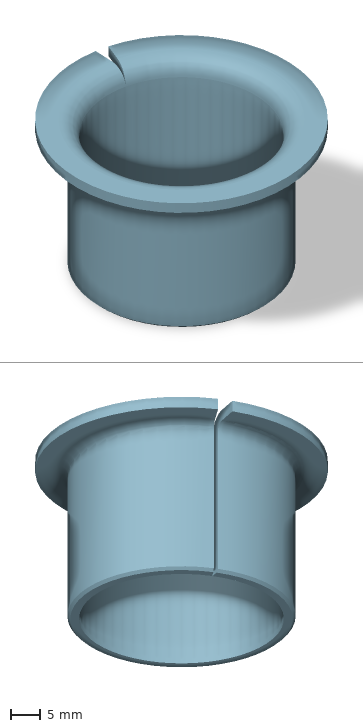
import cadquery as cq
import math

height = 30.0
flange_radius = 25.0
bore_radius = 17.5
wall = 2.0
bend_inner_radius = 1.5
bottom_chamfer = 0.5

split_tip_inset = 0.2
split_tip_y = -0.64
split_upper_angle = 7.8
split_lower_angle = 11.25
split_reach = 10.0

sleeve_radius = bore_radius + wall
bend_outer_radius = bend_inner_radius + wall
bend_radius_from_axis = sleeve_radius + bend_inner_radius
bend_z = height - bend_outer_radius
flange_bottom_z = height - wall
split_tip_x = -bore_radius + split_tip_inset


def arc_midpoint(radius):
    """Midpoint (x, z) of a quarter bend on the -X side, about the common bend centre."""
    offset = radius * math.sqrt(0.5)
    return (-bend_radius_from_axis + offset, bend_z + offset)


def make_bushing():
    """Sleeve flared into a flange, revolved about the Z axis."""
    return (
        cq.Workplane("XZ")
        .moveTo(-bore_radius, 0)
        .lineTo(-bore_radius, bend_z)
        .threePointArc(arc_midpoint(bend_outer_radius), (-bend_radius_from_axis, height))
        .lineTo(-flange_radius, height)
        .lineTo(-flange_radius, flange_bottom_z)
        .lineTo(-bend_radius_from_axis, flange_bottom_z)
        .threePointArc(arc_midpoint(bend_inner_radius), (-sleeve_radius, bend_z))
        .lineTo(-sleeve_radius, bottom_chamfer)
        .lineTo(-sleeve_radius + bottom_chamfer, 0)
        .close()
        .revolve(360, (0, 0, 0), (0, 1, 0))
    )


def make_split_wedge():
    """Full-height wedge that opens outwards from the bore to beyond the flange rim."""
    upper_rise = split_reach * math.tan(math.radians(split_upper_angle))
    lower_drop = split_reach * math.tan(math.radians(split_lower_angle))
    outer_x = split_tip_x - split_reach
    return (
        cq.Workplane("XY")
        .moveTo(split_tip_x, split_tip_y)
        .lineTo(outer_x, split_tip_y + upper_rise)
        .lineTo(outer_x, split_tip_y - lower_drop)
        .close()
        .extrude(height)
    )


result = make_bushing().cut(make_split_wedge())